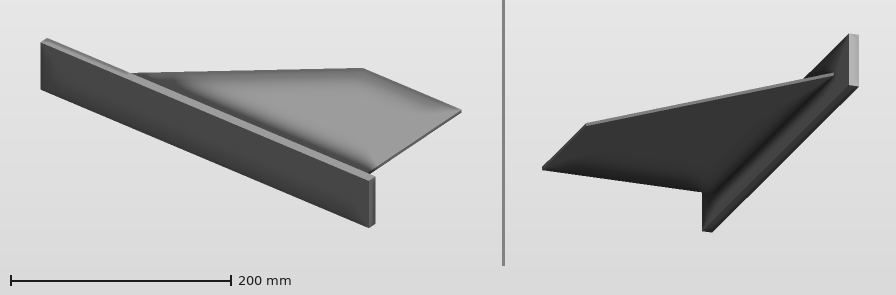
import cadquery as cq

plate_length = 381.0
plate_thickness = 10.0
plate_height = 50.5

overall_depth = 177.5
fin_thickness = 3.0
fin_root_start = 38.5
fin_tip_start = 233.0
fin_end = 348.0


def make_plate():
    return cq.Workplane("XY").box(
        plate_length, plate_thickness, plate_height, centered=(False, False, True)
    )


def make_fin():
    """Four-sided sheet with a sloping left edge, centred on Z = 0."""
    outline = [
        (fin_root_start, plate_thickness),
        (fin_end, plate_thickness),
        (fin_end, overall_depth),
        (fin_tip_start, overall_depth),
    ]
    return cq.Workplane("XY").polyline(outline).close().extrude(fin_thickness / 2, both=True)


plate = make_plate()
fin = make_fin()

result = cq.Compound.makeCompound([plate.val(), fin.val()])